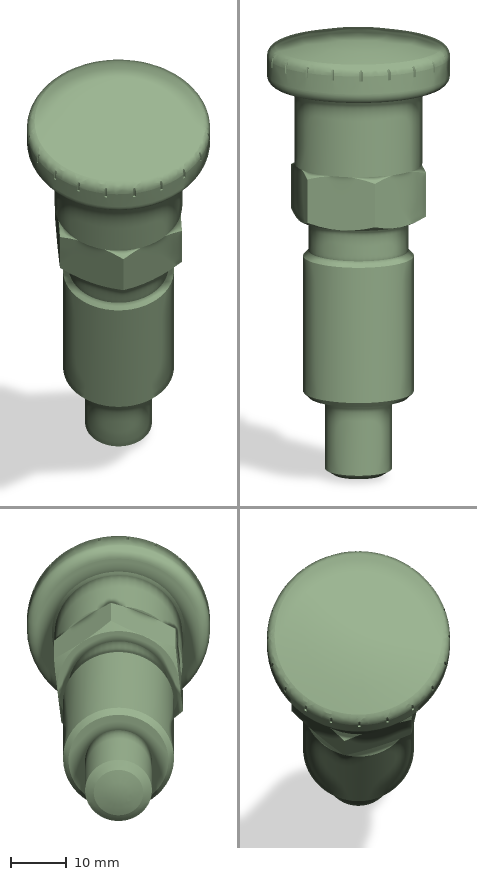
import cadquery as cq
import math


pin_diameter = 12.05
pin_length = 15.0
pin_chamfer_width = 1.55
pin_chamfer_height = 1.0
pin_dome_height = 0.65

barrel_diameter = 20.0
barrel_length = 26.95
barrel_chamfer = 1.0

neck_diameter = 18.0
neck_length = 6.1

hex_width = 22.0
hex_height = 10.0
hex_chamfer_angle = 30

sleeve_diameter = 23.0
sleeve_length = 14.0

knob_diameter = 33.0
knob_height = 9.9
knob_dome_radius = 51.6
knob_top_fillet = 2.0
knob_bottom_fillet = 2.0
collar_height = 0.5

groove_count = 20
groove_radius = 0.25
groove_depth = 0.3
groove_floor_depth = 5.1

barrel_bottom = pin_length
neck_bottom = barrel_bottom + barrel_length
hex_bottom = neck_bottom + neck_length
hex_top = hex_bottom + hex_height
knob_bottom = hex_top + sleeve_length
knob_top = knob_bottom + knob_height


def cylinder(diameter, bottom, height):
    """Cylinder on the Z axis."""
    return cq.Workplane("XY").workplane(offset=bottom).circle(diameter / 2).extrude(height)


def dome_drop(sphere_radius, radius):
    """Height that a sphere falls from its pole to the circle of the given radius."""
    return sphere_radius - math.sqrt(sphere_radius**2 - radius**2)


def make_pin():
    """Pin with a conical chamfer and a shallow domed tip."""
    radius = pin_diameter / 2
    dome_edge = radius - pin_chamfer_width
    dome_radius = (dome_edge**2 + pin_dome_height**2) / (2 * pin_dome_height)
    half_edge = dome_edge / 2
    return (
        cq.Workplane("XZ")
        .threePointArc((half_edge, dome_drop(dome_radius, half_edge)), (dome_edge, pin_dome_height))
        .lineTo(radius, pin_dome_height + pin_chamfer_height)
        .lineTo(radius, pin_length)
        .lineTo(0, pin_length)
        .close()
        .revolve(360, (0, 0, 0), (0, 1, 0))
    )


def make_hexagon():
    """Hexagon with corners on the X axis, its corners cut by a cone at each end."""
    corner_diameter = hex_width / math.cos(math.radians(30))
    prism = cq.Workplane("XY").workplane(offset=hex_bottom).polygon(6, corner_diameter).extrude(hex_height)
    flat_radius = hex_width / 2
    corner_radius = corner_diameter / 2
    cone_height = (corner_radius - flat_radius) * math.tan(math.radians(hex_chamfer_angle))
    envelope = (
        cq.Workplane("XZ")
        .moveTo(0, hex_bottom)
        .lineTo(flat_radius, hex_bottom)
        .lineTo(corner_radius, hex_bottom + cone_height)
        .lineTo(corner_radius, hex_top - cone_height)
        .lineTo(flat_radius, hex_top)
        .lineTo(0, hex_top)
        .close()
        .revolve(360, (0, 0, 0), (0, 1, 0))
    )
    return prism.intersect(envelope)


def make_plunger():
    """One solid from the pin tip up to the top of the sleeve."""
    barrel = cylinder(barrel_diameter, barrel_bottom, barrel_length).faces("<Z or >Z").chamfer(barrel_chamfer)
    neck = cylinder(neck_diameter, neck_bottom, neck_length)
    sleeve = cylinder(sleeve_diameter, hex_top, sleeve_length)
    return make_pin().union(barrel).union(neck).union(make_hexagon()).union(sleeve)


def make_knob():
    """Domed knob with rounded rim, tapered collar and grip grooves."""
    radius = knob_diameter / 2
    half_radius = radius / 2
    disc_bottom = knob_bottom + collar_height
    disc = (
        cq.Workplane("XZ")
        .moveTo(0, disc_bottom)
        .lineTo(radius, disc_bottom)
        .lineTo(radius, knob_top - dome_drop(knob_dome_radius, radius))
        .threePointArc((half_radius, knob_top - dome_drop(knob_dome_radius, half_radius)), (0, knob_top))
        .close()
        .revolve(360, (0, 0, 0), (0, 1, 0))
    )
    rim_circles = cq.selectors.RadiusNthSelector(0)
    disc = disc.edges(rim_circles).edges(">Z").fillet(knob_top_fillet)
    disc = disc.faces("<Z").edges().fillet(knob_bottom_fillet)

    sleeve_radius = sleeve_diameter / 2
    collar = cq.Workplane(
        cq.Solid.makeCone(
            sleeve_radius,
            sleeve_radius + collar_height,
            collar_height,
            pnt=cq.Vector(0, 0, knob_bottom),
        )
    )
    knob = disc.union(collar)

    groove_centre = radius - groove_depth + groove_radius
    grooves = (
        cq.Workplane("XY")
        .workplane(offset=knob_top - groove_floor_depth)
        .polarArray(groove_centre, 0, 360, groove_count)
        .circle(groove_radius)
        .extrude(groove_floor_depth)
    )
    return knob.cut(grooves)


plunger = make_plunger()
knob = make_knob()

result = cq.Compound.makeCompound([plunger.val(), knob.val()])